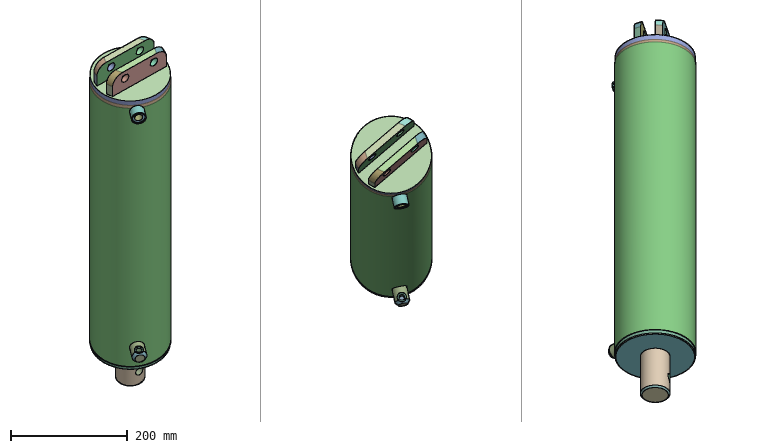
import cadquery as cq
import math

barrel_radius = 70.06
cap_radius = 69.0
barrel_length = 625.0
top_cap_height = 10.0
top_bevel_height = 6.0
bottom_cap_height = 8.0
bottom_chamfer = 1.5

clevis_height = 43.0
clevis_radius = 65.0
clevis_corner_radius = 20.0
plate_inner_x = 12.5
plate_thickness = 12.5
clevis_hole_diameter = 16.0
clevis_hole_spacing = 64.0
clevis_hole_height = 26.0

rod_radius = 25.5
rod_extension = 80.0
rod_socket_depth = 30.0
rod_chamfer = 3.0
rod_hole_diameter = 16.0
rod_hole_z = -48.0

port_angle = -30.0
port_radius = 13.0
port_root = 40.0

upper_port_z = 600.8
upper_port_reach = 87.3
upper_counterbore_radius = 11.0
upper_counterbore_depth = 1.5
upper_bore_radius = 7.0
upper_bore_depth = 20.0

lower_port_z = 53.0
lower_port_reach = 99.35
lower_bevel_length = 6.0
lower_bevel_width = 4.5
lower_opening_distance = 89.0
lower_counterbore_radius = 8.0
lower_counterbore_depth = 3.0
lower_bore_radius = 5.0
lower_bore_depth = port_radius


def revolve_about_z(profile):
    return profile.close().revolve(360, (0, 0, 0), (0, 1, 0))


def make_barrel():
    bevel_top = barrel_length - top_cap_height
    profile = (
        cq.Workplane("XZ")
        .lineTo(cap_radius - bottom_chamfer, 0)
        .lineTo(cap_radius, bottom_chamfer)
        .lineTo(cap_radius, bottom_cap_height)
        .lineTo(barrel_radius, bottom_cap_height)
        .lineTo(barrel_radius, bevel_top - top_bevel_height)
        .lineTo(cap_radius, bevel_top)
        .lineTo(cap_radius, barrel_length)
        .lineTo(0, barrel_length)
    )
    return revolve_about_z(profile)


def make_clevis():
    """Two parallel plates whose ends follow a round blank with a rounded top edge."""
    blank = (
        cq.Workplane("XY", origin=(0, 0, barrel_length))
        .circle(clevis_radius)
        .extrude(clevis_height)
        .faces(">Z")
        .edges()
        .fillet(clevis_corner_radius)
    )
    plate_x = plate_inner_x + plate_thickness / 2
    plates = (
        cq.Workplane("XY", origin=(0, 0, barrel_length))
        .pushPoints([(-plate_x, 0), (plate_x, 0)])
        .rect(plate_thickness, 2 * clevis_radius)
        .extrude(clevis_height)
    )
    hole_y = clevis_hole_spacing / 2
    holes = (
        cq.Workplane("YZ", origin=(0, 0, barrel_length + clevis_hole_height))
        .pushPoints([(-hole_y, 0), (hole_y, 0)])
        .circle(clevis_hole_diameter / 2)
        .extrude(clevis_radius, both=True)
    )
    return blank.intersect(plates).cut(holes)


def port_point(distance, z):
    angle = math.radians(port_angle)
    return (distance * math.cos(angle), distance * math.sin(angle), z)


def port_plane(distance, z):
    """Plane across a port's axis, facing away from the barrel."""
    return cq.Plane(port_point(distance, z), (0, 0, 1), port_point(1, 0))


def make_counterbored_hole(plane, bore_radius, bore_depth, counterbore_radius, counterbore_depth):
    """Tool that sinks a stepped hole below the plane."""
    bore = cq.Workplane(plane).circle(bore_radius).extrude(-bore_depth)
    counterbore = cq.Workplane(plane).circle(counterbore_radius).extrude(-counterbore_depth)
    return bore.union(counterbore)


def make_upper_port():
    length = upper_port_reach - port_root
    return cq.Workplane(port_plane(port_root, upper_port_z)).circle(port_radius).extrude(length)


def make_upper_port_hole():
    return make_counterbored_hole(
        port_plane(upper_port_reach, upper_port_z),
        upper_bore_radius,
        upper_bore_depth,
        upper_counterbore_radius,
        upper_counterbore_depth,
    )


def make_lower_port():
    bevel_start = lower_port_reach - lower_bevel_length
    stub = (
        cq.Workplane(port_plane(port_root, lower_port_z))
        .circle(port_radius)
        .extrude(bevel_start - port_root)
    )
    bevelled_end = (
        cq.Workplane(port_plane(bevel_start, lower_port_z))
        .circle(port_radius)
        .workplane(offset=lower_bevel_length)
        .circle(port_radius - lower_bevel_width)
        .loft()
    )
    return stub.union(bevelled_end)


def make_lower_port_hole():
    top = port_point(lower_opening_distance, lower_port_z + port_radius)
    return make_counterbored_hole(
        cq.Plane(top, (1, 0, 0), (0, 0, 1)),
        lower_bore_radius,
        lower_bore_depth,
        lower_counterbore_radius,
        lower_counterbore_depth,
    )


def make_housing():
    rod_socket = cq.Workplane("XY").circle(rod_radius).extrude(rod_socket_depth)
    return (
        make_barrel()
        .union(make_clevis())
        .union(make_upper_port())
        .union(make_lower_port())
        .cut(make_upper_port_hole())
        .cut(make_lower_port_hole())
        .cut(rod_socket)
    )


def make_rod():
    cross_hole = (
        cq.Workplane("YZ", origin=(0, 0, rod_hole_z))
        .circle(rod_hole_diameter / 2)
        .extrude(2 * rod_radius, both=True)
    )
    return (
        cq.Workplane("XY", origin=(0, 0, -rod_extension))
        .circle(rod_radius)
        .extrude(rod_extension + rod_socket_depth)
        .faces("<Z")
        .edges()
        .chamfer(rod_chamfer)
        .cut(cross_hole)
    )


housing = make_housing()
rod = make_rod()

result = cq.Compound.makeCompound([housing.solids().val(), rod.solids().val()])